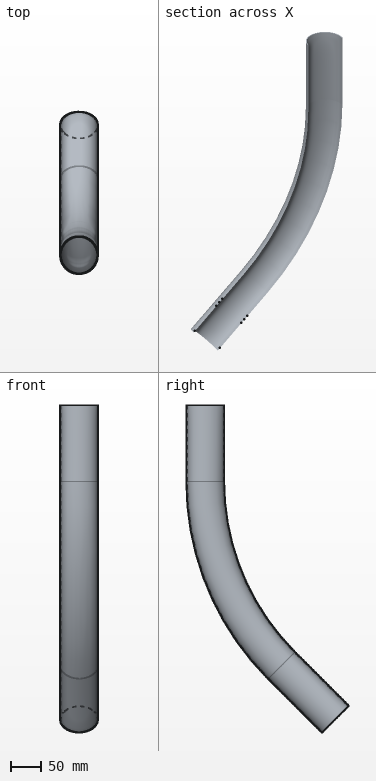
import cadquery as cq
import math

OUTER_DIAMETER = 63.5
INNER_DIAMETER = 60.3

LEG_LENGTH = 127.0
BEND_RADIUS = 431.8
BEND_ANGLE = 45.0


def bend_point(angle_deg):
    """Centreline point (y, z) at the given angle into the bend."""
    angle = math.radians(angle_deg)
    y = BEND_RADIUS * (1 - math.cos(angle))
    z = -LEG_LENGTH - BEND_RADIUS * math.sin(angle)
    return y, z


def make_centreline():
    """Path from the centre of the top end at the origin, down and towards +Y."""
    bend_start = bend_point(0)
    bend_middle = bend_point(BEND_ANGLE / 2)
    bend_end = bend_point(BEND_ANGLE)
    slope = math.radians(BEND_ANGLE)
    lower_end = (
        bend_end[0] + LEG_LENGTH * math.sin(slope),
        bend_end[1] - LEG_LENGTH * math.cos(slope),
    )
    return (
        cq.Workplane("YZ")
        .moveTo(0, 0)
        .lineTo(*bend_start)
        .threePointArc(bend_middle, bend_end)
        .lineTo(*lower_end)
    )


def make_tube():
    """Sweep the ring-shaped section along the centreline."""
    section = cq.Workplane("XY").circle(OUTER_DIAMETER / 2).circle(INNER_DIAMETER / 2)
    return section.sweep(make_centreline())


result = make_tube()